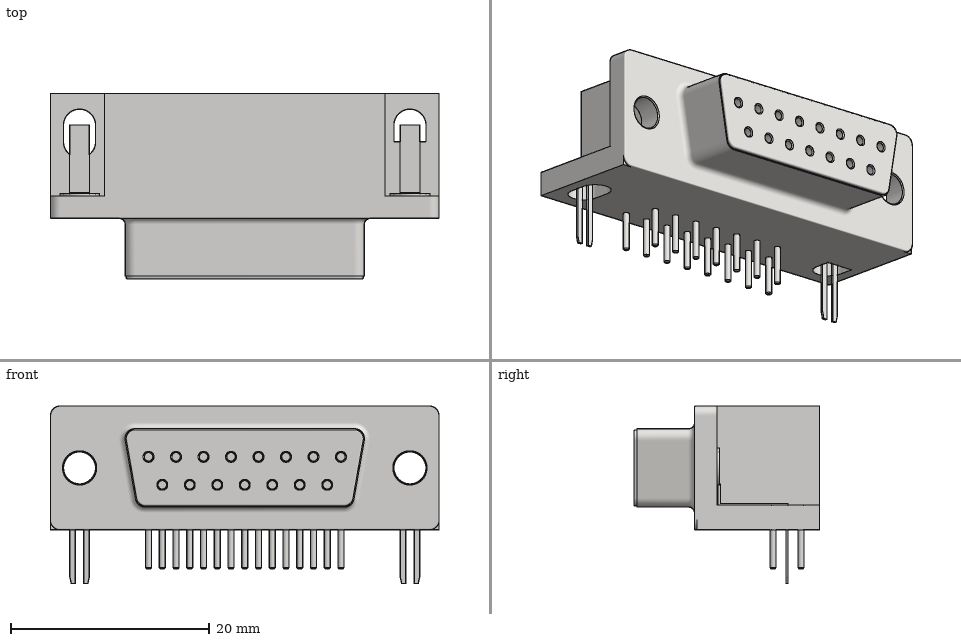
import cadquery as cq
import math


length = 39.2
height = 12.5
back_y = 12.62
block_width = 28.3
ledge_height = 2.5
plate_back_y = 2.27
corner_radius = 0.98
mount_z = height / 2

flange_thickness = 0.25
edge_fillet = 0.1

shell_front_y = -5.8
shell_height = 7.9
shell_top_half_width = 12.25
shell_angle = 10.0
shell_corner_radius = 1.0
shell_root_fillet = 0.6
insert_inset = 0.1
insert_proud = 0.3
insert_fillet = 0.15

upper_count = 8
lower_count = 7
upper_row_span = 19.4
contact_pitch = upper_row_span / (upper_count - 1)
row_spacing = 2.82
lower_row_z = 4.55
contact_diameter = 0.85
contact_depth = 4.7
contact_chamfer = 0.1

pin_diameter = 0.63
pin_length = 3.92
pin_chamfer = 0.1
pin_root = 0.4
front_pin_y = 7.9

mount_x = 16.65
mount_diameter = 3.2
mount_chamfer = 0.1
slot_width = 3.2
slot_back_y = 11.0
slot_left_straight = 1.7
slot_right_straight = 1.65
ring_diameter = 4.0
ring_thickness = 0.25
strap_width = 2.0
strap_thickness = 0.25
strap_proud = 0.15
strap_back_y = 2.63
tine_back_y = 9.45
tine_width = 0.6
tine_length = 5.4
tine_taper_height = 0.7
tine_taper_width = 0.15


def span_box(x0, x1, y0, y1, z0, z1):
    """Box between two opposite corners."""
    return cq.Workplane("XY").box(x1 - x0, y1 - y0, z1 - z0, centered=False).translate((x0, y0, z0))


def front_plane(y):
    """Sketch plane facing -Y, with local axes along X and Z."""
    return cq.Workplane("XZ", origin=(0, y, 0))


def make_housing():
    """Central block, low side ledges and front plate, faced with the rounded flange sheet."""
    half = length / 2
    plate = span_box(-half, half, flange_thickness, plate_back_y, 0, height)
    plate = plate.edges("|Y and >Z").fillet(corner_radius)
    block_half = block_width / 2
    block = span_box(-block_half, block_half, flange_thickness, back_y, 0, height)
    ledge = span_box(-half, half, flange_thickness, back_y, 0, ledge_height)
    flange = span_box(-half, half, 0, flange_thickness, 0, height)
    flange = flange.edges("|Y").fillet(corner_radius).faces("<Y").edges().fillet(edge_fillet)
    return plate.union(block).union(ledge).union(flange)


def make_d_prism(front_y, inset):
    """Rounded D-shaped prism from the flange to front_y, set in from the shell outline by inset."""
    slope = math.radians(shell_angle)
    top = mount_z + shell_height / 2 - inset
    bottom = mount_z - shell_height / 2 + inset
    corner_shift = inset * (1 / math.cos(slope) + math.tan(slope))
    top_half_width = shell_top_half_width - corner_shift
    bottom_half_width = top_half_width - (top - bottom) * math.tan(slope)
    corners = [
        (-top_half_width, top),
        (top_half_width, top),
        (bottom_half_width, bottom),
        (-bottom_half_width, bottom),
    ]
    prism = front_plane(0).polyline(corners).close().extrude(-front_y)
    return prism.edges("|Y").fillet(shell_corner_radius - inset)


def add_shell(housing):
    """Shell with a flared root on the flange, and the insert standing proud of its mouth."""
    shell = make_d_prism(shell_front_y, 0)
    body = housing.union(shell)
    root_low = mount_z - shell_height / 2 - edge_fillet
    root_high = mount_z + shell_height / 2 + edge_fillet
    root_box = cq.selectors.BoxSelector(
        (-shell_top_half_width, -edge_fillet, root_low),
        (shell_top_half_width, edge_fillet, root_high),
    )
    body = body.edges(root_box).fillet(shell_root_fillet)
    insert = make_d_prism(shell_front_y - insert_proud, insert_inset)
    return body.union(insert.faces("<Y").edges().fillet(insert_fillet))


def row_positions(count):
    """X positions of a contact row centred on x = 0."""
    return [(i - (count - 1) / 2) * contact_pitch for i in range(count)]


def make_contact_holes():
    """Blind contact holes with a chamfered mouth, opening on the insert face."""
    mouth_y = shell_front_y - insert_proud
    rows = [(upper_count, lower_row_z + row_spacing), (lower_count, lower_row_z)]
    points = [(x, z) for count, z in rows for x in row_positions(count)]
    bottom = front_plane(mouth_y + contact_depth)
    holes = bottom.pushPoints(points).circle(contact_diameter / 2).extrude(contact_depth)
    for x, z in points:
        cone = cq.Solid.makeCone(
            contact_diameter / 2 + contact_chamfer,
            contact_diameter / 2,
            contact_chamfer,
            pnt=cq.Vector(x, mouth_y, z),
            dir=cq.Vector(0, 1, 0),
        )
        holes = holes.add(cone)
    return holes.combine()


def make_pins(count, y):
    """Row of solder pins with chamfered tips, rooted in the housing."""
    points = [(x, y) for x in row_positions(count)]
    start = cq.Workplane("XY", origin=(0, 0, pin_root)).pushPoints(points)
    pins = start.circle(pin_diameter / 2).extrude(-pin_root - pin_length)
    return pins.faces("<Z").edges().chamfer(pin_chamfer)


def make_mount_hole(x):
    """Through hole in the flange and plate, with a chamfered front rim."""
    radius = mount_diameter / 2
    hole = front_plane(plate_back_y + ring_thickness).center(x, mount_z)
    hole = hole.circle(radius).extrude(plate_back_y + ring_thickness)
    rim = cq.Solid.makeCone(
        radius + mount_chamfer,
        radius,
        mount_chamfer,
        pnt=cq.Vector(x, 0, mount_z),
        dir=cq.Vector(0, 1, 0),
    )
    return hole.union(cq.Workplane(rim))


def make_slot(x, straight, round_front):
    """Vertical slot through the ledge, rounded at the back and optionally at the front."""
    radius = slot_width / 2
    back_centre_y = slot_back_y - radius
    front_centre_y = back_centre_y - straight
    outline = (
        cq.Workplane("XY")
        .moveTo(x - radius, front_centre_y)
        .lineTo(x - radius, back_centre_y)
        .threePointArc((x, slot_back_y), (x + radius, back_centre_y))
        .lineTo(x + radius, front_centre_y)
    )
    if round_front:
        outline = outline.threePointArc((x, front_centre_y - radius), (x - radius, front_centre_y))
    return outline.close().extrude(ledge_height)


def make_tine(side):
    """One flat prong; side is -1 or 1 and its tapered edge faces away from the clip centre."""
    outer = strap_width / 2
    inner = outer - tine_width
    outline = [
        (side * inner, ledge_height),
        (side * outer, ledge_height),
        (side * outer, tine_taper_height - tine_length),
        (side * (outer - tine_taper_width), -tine_length),
        (side * inner, -tine_length),
    ]
    return front_plane(tine_back_y).polyline(outline).close().extrude(strap_thickness)


def make_clip(x):
    """Board-lock clip: ring behind the plate, bent strap along the ledge and two prongs."""
    half = strap_width / 2
    strap_top = ledge_height + strap_proud
    strap_end_z = mount_z - mount_diameter / 2
    ring = front_plane(plate_back_y + ring_thickness).center(0, mount_z)
    ring = ring.circle(ring_diameter / 2).circle(mount_diameter / 2).extrude(ring_thickness)
    strap_front_y = strap_back_y - strap_thickness
    upright = span_box(-half, half, strap_front_y, strap_back_y, ledge_height, strap_end_z)
    strap = span_box(-half, half, strap_front_y, tine_back_y, strap_top - strap_thickness, strap_top)
    clip = ring.union(upright).union(strap)
    for side in (-1, 1):
        clip = clip.union(make_tine(side))
    return clip.translate((x, 0, 0))


result = add_shell(make_housing()).cut(make_contact_holes())

result = result.union(make_pins(lower_count, front_pin_y))
result = result.union(make_pins(upper_count, front_pin_y + row_spacing))

result = result.cut(make_slot(-mount_x, slot_left_straight, True))
result = result.cut(make_slot(mount_x, slot_right_straight, False))

for clip_x in (-mount_x, mount_x):
    result = result.cut(make_mount_hole(clip_x)).union(make_clip(clip_x))